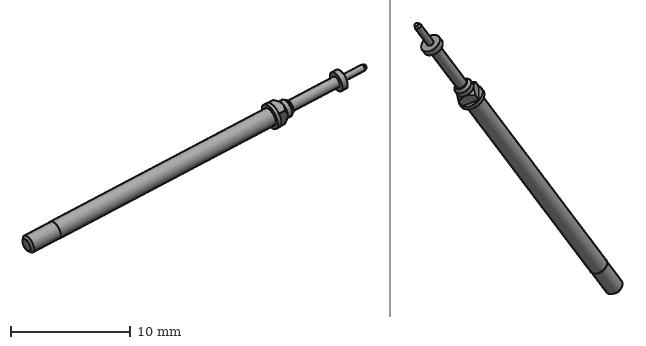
import cadquery as cq


total_length = 35.5
seat_from_tip = 10.0
pin_length = 2.5
disc_thickness = 0.55
flange_thickness = 0.35
collar_length = 2.05
collar_round_length = 0.75
tail_length = 3.0

pin_diameter = 0.6
disc_diameter = 1.8
plunger_diameter = 1.0
barrel_diameter = 1.64
collar_diameter = 1.6
tail_diameter = 1.6
flange_diameter = 2.3
square_width = collar_diameter

tip_chamfer_length = 0.25
tip_chamfer_width = 0.1
collar_chamfer_length = 0.3
collar_chamfer_width = 0.2
tail_chamfer = 0.22

tip_y = seat_from_tip
disc_front_y = tip_y - pin_length
disc_back_y = disc_front_y - disc_thickness
collar_front_y = collar_length
square_front_y = collar_front_y - collar_round_length
flange_front_y = flange_thickness
tail_end_y = tip_y - total_length
tail_start_y = tail_end_y + tail_length


def cylinder(diameter, start_y, end_y):
    """Round section about the Y axis from start_y up to end_y."""
    base = cq.Workplane("XZ", origin=(0, start_y, 0))
    return base.circle(diameter / 2).extrude(start_y - end_y)


def cone(start_diameter, end_diameter, start_y, end_y):
    """Conical section about the Y axis, start_diameter at start_y."""
    profile = [
        (0, start_y),
        (start_diameter / 2, start_y),
        (end_diameter / 2, end_y),
        (0, end_y),
    ]
    return cq.Workplane("XY").polyline(profile).close().revolve(360, (0, 0, 0), (0, 1, 0))


def make_plunger():
    """Thin contact pin with a bevelled tip, stop disc and plunger shaft."""
    bevel_y = tip_y - tip_chamfer_length
    tip_diameter = pin_diameter - 2 * tip_chamfer_width
    plunger = cylinder(plunger_diameter, collar_front_y, disc_back_y)
    plunger = plunger.union(cylinder(disc_diameter, disc_back_y, disc_front_y))
    plunger = plunger.union(cylinder(pin_diameter, disc_front_y, bevel_y))
    return plunger.union(cone(pin_diameter, tip_diameter, bevel_y, tip_y))


def make_square():
    """Square wrench section whose front corners are turned off at 45 degrees."""
    length = square_front_y - flange_front_y
    square = cq.Workplane("XZ", origin=(0, flange_front_y, 0))
    square = square.rect(square_width, square_width).extrude(-length)
    wide_diameter = square_width + 2 * length
    return square.intersect(cone(wide_diameter, square_width, flange_front_y, square_front_y))


def make_collar():
    """Round collar with a bevelled front, square section and flange."""
    bevel_y = collar_front_y - collar_chamfer_length
    front_diameter = collar_diameter - 2 * collar_chamfer_width
    collar = cone(collar_diameter, front_diameter, bevel_y, collar_front_y)
    collar = collar.union(cylinder(collar_diameter, square_front_y, bevel_y))
    collar = collar.union(make_square())
    return collar.union(cylinder(flange_diameter, 0, flange_front_y))


def make_barrel():
    """Long barrel ending in a slightly thinner tail with a bevelled end."""
    bevel_y = tail_end_y + tail_chamfer
    end_diameter = tail_diameter - 2 * tail_chamfer
    barrel = cylinder(barrel_diameter, tail_start_y, 0)
    barrel = barrel.union(cylinder(tail_diameter, bevel_y, tail_start_y))
    return barrel.union(cone(end_diameter, tail_diameter, tail_end_y, bevel_y))


result = make_plunger().union(make_collar()).union(make_barrel())